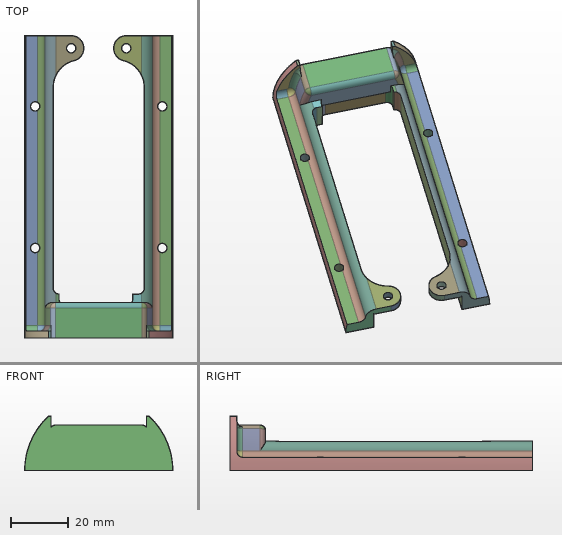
import cadquery as cq
import math

length = 105.5
outer_radius = 25.8
end_height = 19.0

ledge_height = 4.6
deck_height = 10.3
cove_radius = 2.5
cove_top_x = 18.8

opening_half_width = 15.8
opening_front_y = 15.4
recess_left_x = -13.8
recess_right_x = 11.8
recess_front_y = 11.6
opening_corner_radius = 2.0

tab_thickness = 2.8
tab_radius = 4.4
tab_x = 9.6
tab_y = length - tab_radius
tab_blend_radius = 9.5

hole_diameter = 3.2
rail_hole_x = 22.2
rail_hole_ys = (31.4, 80.8)

end_thickness = 2.4
block_height = 15.9
block_depth = 12.5
block_side_radius = 31.6
block_side_center_z = 3.4
edge_radius = 2.0
notch_half_width = 16.6

cove_center_z = ledge_height + cove_radius
lean = math.asin((cove_center_z - block_side_center_z) / (block_side_radius + cove_radius))
cove_top_z = cove_center_z - cove_radius * math.sin(lean)
cove_center_x = cove_top_x + cove_radius * math.cos(lean)
block_side_center_x = cove_top_x - block_side_radius * math.cos(lean)
shoulder_radius = (deck_height - cove_top_z) / (1 - math.sin(lean))
shoulder_x = cove_top_x - shoulder_radius * math.cos(lean)

overcut = 1.1
tolerance = 0.1


def arc_x(radius, height):
    """Half width of a circle at a height above its centre."""
    return math.sqrt(radius ** 2 - height ** 2)


def extrude_along_y(sketch, depth):
    """Extrude an XZ outline from the front face toward +Y."""
    return sketch.extrude(-depth)


def make_envelope():
    """Round-sided prism with a flat top that bounds the whole part."""
    top_x = arc_x(outer_radius, end_height)
    mid_z = end_height / 2
    mid_x = arc_x(outer_radius, mid_z)
    outline = (
        cq.Workplane("XZ")
        .moveTo(-outer_radius, 0)
        .lineTo(outer_radius, 0)
        .threePointArc((mid_x, mid_z), (top_x, end_height))
        .lineTo(-top_x, end_height)
        .threePointArc((-mid_x, mid_z), (-outer_radius, 0))
        .close()
    )
    return extrude_along_y(outline, length)


def make_slab(depth, height):
    """Flat slab from the front face, wider than the envelope that trims it."""
    width = 2 * (outer_radius + overcut)
    return cq.Workplane("XY").box(width, depth, height, centered=(True, False, False))


def make_raised_deck():
    """Coved and rounded ridge standing on the ledges."""
    shoulder_z = deck_height - shoulder_radius
    arc_mid_angle = (math.pi / 2 + lean) / 2
    cove_mid = (
        cove_center_x - cove_radius * math.cos(arc_mid_angle),
        cove_center_z - cove_radius * math.sin(arc_mid_angle),
    )
    shoulder_mid = (
        shoulder_x + shoulder_radius * math.cos(arc_mid_angle),
        shoulder_z + shoulder_radius * math.sin(arc_mid_angle),
    )
    half = (
        cq.Workplane("XZ")
        .lineTo(cove_center_x, 0)
        .lineTo(cove_center_x, ledge_height)
        .threePointArc(cove_mid, (cove_top_x, cove_top_z))
        .threePointArc(shoulder_mid, (shoulder_x, deck_height))
        .lineTo(0, deck_height)
        .close()
    )
    half = extrude_along_y(half, length)
    return half.union(half.mirror("YZ"))


def make_opening():
    """Full-height opening: rear bay between the tabs plus the front recess."""
    blend_x = opening_half_width - tab_blend_radius
    center_gap = tab_radius + tab_blend_radius
    blend_y = tab_y - arc_x(center_gap, tab_x - blend_x)
    share = tab_radius / center_gap
    tangent = (tab_x + (blend_x - tab_x) * share, tab_y + (blend_y - tab_y) * share)
    half_angle = math.atan2(tab_y - blend_y, tab_x - blend_x) / 2
    blend_mid = (
        blend_x + tab_blend_radius * math.cos(half_angle),
        blend_y + tab_blend_radius * math.sin(half_angle),
    )
    tip = (tab_x - tab_radius, tab_y)

    def mirrored(point):
        return (-point[0], point[1])

    bay = (
        cq.Workplane("XY")
        .moveTo(-opening_half_width, opening_front_y)
        .lineTo(opening_half_width, opening_front_y)
        .lineTo(opening_half_width, blend_y)
        .threePointArc(blend_mid, tangent)
        .threePointArc(tip, (tab_x, length))
        .lineTo(-tab_x, length)
        .threePointArc(mirrored(tip), mirrored(tangent))
        .threePointArc(mirrored(blend_mid), (-opening_half_width, blend_y))
        .close()
        .extrude(deck_height)
        .edges("|Z and <Y")
        .fillet(opening_corner_radius)
    )
    recess = (
        cq.Workplane("XY")
        .moveTo(recess_left_x, recess_front_y)
        .lineTo(recess_right_x, recess_front_y)
        .lineTo(recess_right_x, opening_front_y + overcut)
        .lineTo(recess_left_x, opening_front_y + overcut)
        .close()
        .extrude(deck_height)
        .edges("|Z and <Y")
        .fillet(opening_corner_radius)
    )
    below_tabs = (
        cq.Workplane("XY")
        .box(
            2 * opening_half_width,
            length / 2,
            deck_height - tab_thickness,
            centered=(True, False, False),
        )
        .translate((0, length / 2, 0))
    )
    return bay.union(recess).union(below_tabs)


def make_block():
    """Raised block with bulged sides, rounded along its top and rear edges."""

    def side_x(z):
        return block_side_center_x + arc_x(block_side_radius, z - block_side_center_z)

    mid_z = (cove_top_z + block_height) / 2
    top_x = side_x(block_height)
    outline = (
        cq.Workplane("XZ")
        .moveTo(-cove_top_x, cove_top_z)
        .lineTo(cove_top_x, cove_top_z)
        .threePointArc((side_x(mid_z), mid_z), (top_x, block_height))
        .lineTo(-top_x, block_height)
        .threePointArc((-side_x(mid_z), mid_z), (-cove_top_x, cove_top_z))
        .close()
    )
    block = extrude_along_y(outline, block_depth)
    top_edges = block.faces(">Z").edges("not <Y")
    rear_edges = block.faces(">Y").edges("not <Z")
    return block.newObject(top_edges.vals() + rear_edges.vals()).fillet(edge_radius)


def make_notch(block):
    """Clearance above the block, through the end wall and its inner fillet."""
    notch_depth = end_thickness + edge_radius
    notch = (
        cq.Workplane("XY")
        .box(2 * notch_half_width, notch_depth, end_height, centered=(True, False, False))
        .translate((0, 0, deck_height))
    )
    return notch.cut(block)


def make_holes():
    """Through holes in the ledges and the tabs."""
    rail_holes = [(side * rail_hole_x, y) for side in (-1, 1) for y in rail_hole_ys]
    tab_holes = [(side * tab_x, tab_y) for side in (-1, 1)]
    return (
        cq.Workplane("XY")
        .pushPoints(rail_holes + tab_holes)
        .circle(hole_diameter / 2)
        .extrude(deck_height)
    )


block = make_block()
rails = make_slab(length, ledge_height).union(make_raised_deck()).cut(make_opening())
end_wall = make_slab(end_thickness, end_height)
body = rails.union(block).union(end_wall)

inner_corner = cq.selectors.BoxSelector(
    (-outer_radius, end_thickness - tolerance, ledge_height - tolerance),
    (outer_radius, end_thickness + tolerance, block_height + tolerance),
)
body = body.edges(inner_corner).fillet(edge_radius)

body = body.intersect(make_envelope())
result = body.cut(make_notch(block)).cut(make_holes())